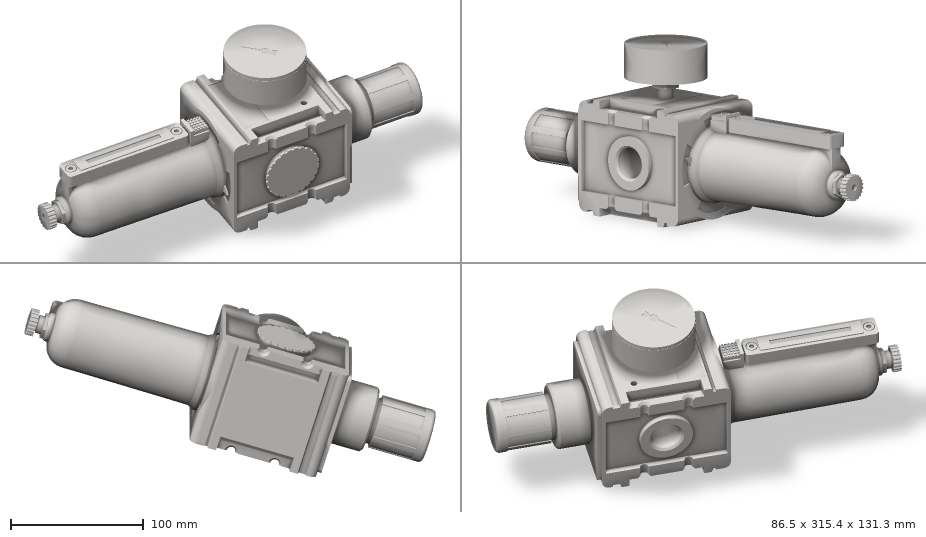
import cadquery as cq
import math


HOUSING_WIDTH = 85.0
HOUSING_LENGTH = 99.7
PAD_HEIGHT = 44.5
SHOULDER_HEIGHT = 42.5
GROOVE_HEIGHT = 40.7
EDGE_RADIUS = 5.7
PAD_HALF_LENGTH = 35.0
PAD_SLOPE = 1.3
KNOB_SIDE_GROOVE_END = 41.5
BOWL_SIDE_GROOVE_END = -38.2
FRONT_BOSS_DIAMETER = 84.5

NOTCH_LENGTH = 58.0
NOTCH_INNER = 31.0
LIP_INNER = 36.0
LIP_HEIGHT = 38.0
SLOT_FLOOR_HEIGHT = 34.0

PORT_POCKET_LENGTH = 94.3
PORT_POCKET_HEIGHT = 54.5
PORT_POCKET_DEPTH = 4.0
PORT_RING_DIAMETER = 41.0
PORT_DIAMETER = 24.0
PORT_MOUTH_DIAMETER = 27.0
PORT_MOUTH_DEPTH = 1.5
CLAMP_HOLE_DIAMETER = 6.5
CLAMP_SINK_DIAMETER = 10.0
CLAMP_SINK_DEPTH = 2.0
CLAMP_HOLE_SPACING = 34.5

TOP_HOLE_DIAMETER = 5.0
TOP_HOLE_DEPTH = 6.3
TOP_HOLE_X = 23.5
TOP_HOLE_Y = 20.8
LABEL_WIDTH = 58.0
LABEL_LENGTH = 20.8
LABEL_CENTRE_Y = -22.5
LABEL_DEPTH = 0.5

COVER_DIAMETER = 45.0
COVER_THICKNESS = 1.5
COVER_NOTCHES = 24
COVER_NOTCH_DIAMETER = 2.5

BAYONET_DEPTH = 1.5
BAYONET_BORE_DIAMETER = 61.8
BAYONET_SLOT_DIAMETER = 74.8
BAYONET_SLOT_SPAN = 52
BAYONET_SLOT_ANGLE = -6
BAYONET_SLOT_COUNT = 4

PLATE_WIDTH = 80.0
PLATE_HEIGHT = 74.5
PLATE_THICKNESS = 3.0
PLATE_CORNER_RADIUS = 4.0
COLLAR_DIAMETER = 50.5
COLLAR_LENGTH = 26.5
COLLAR_CHAMFER = 1.5

KNOB_NECK_DIAMETER = 35.5
KNOB_NECK_LENGTH = 4.0
KNOB_DIAMETER = 41.0
KNOB_LENGTH = 42.0
KNOB_END_RADIUS = 2.8
GRIP_LENGTH = 33.8
GRIP_ROOT_DIAMETER = 39.5
GRIP_SPAN = 32
GRIP_COUNT = 8

STEM_DIAMETER = 12.0
STEM_TOP = 52.0
SQUARE_SIDE = 14.2
DIAL_BOTTOM = 60.3
DIAL_DIAMETER = 63.0
DIAL_HEIGHT = 26.5
BEZEL_HEIGHT = 3.0
BEZEL_STEP = 0.15
NEEDLE_DEPTH = 0.3
NEEDLE_HUB_DIAMETER = 7.0
NEEDLE_LENGTH = 20.2
NEEDLE_ROOT_WIDTH = 2.8
NEEDLE_TAIL_LENGTH = 9.0
NEEDLE_TAIL_WIDTH = 6.5
NEEDLE_ANGLE = 225

NECK_RADIUS = 29.5
NECK_END = -51.7
FLARE_END = -56.0
BOWL_TOP_RADIUS = 27.5
BOWL_BOTTOM_RADIUS = 26.5
DOME_START = -156.0
DOME_RADIUS = 15.5
EAR_REACH = 34.5
EAR_TOP = 9.5
EAR_BOTTOM = 3.0
EAR_THICKNESS = 1.5

LATCH_START = -52.5
LATCH_END = -68.0
LATCH_WIDTH = 16.5
LATCH_BASE_TOP = 35.3
LATCH_TOP = 39.0
LATCH_RIDGE_TOP = 40.7
LATCH_RIDGE_LENGTH = 2.8
LATCH_BUTTON_WIDTH = 14.0
LATCH_GROOVES = 5
LATCH_GROOVE_WIDTH = 1.0
LATCH_GROOVE_DEPTH = 1.0

BAR_START = -69.7
BAR_END = -173.0
BAR_WIDTH = 18.0
BAR_BOTTOM = 28.5
BAR_TOP = 38.8
BAR_CORNER_RADIUS = 2.8
RIB_WIDTH = 9.8
RIB_BOTTOM = 6.3
SIGHT_LENGTH = 80.5
SIGHT_WIDTH = 13.0
SIGHT_HEIGHT = 1.0
SIGHT_CORNER_RADIUS = 1.3
WINDOW_LENGTH = 63.0
WINDOW_WIDTH = 4.5
WINDOW_DEPTH = 1.0
SCREW_SPACING = 91.0
SCREW_HOLE_DIAMETER = 9.0
SCREW_HEAD_DIAMETER = 8.0
SCREW_SOCKET_DIAMETER = 4.0
SCREW_DEPTH = 2.0

DRAIN_FLANGE_DIAMETER = 22.0
DRAIN_FLANGE_LENGTH = 4.5
DRAIN_FLANGE_CHAMFER = 1.5
DRAIN_HEX_CORNERS = 20.0
DRAIN_HEX_LENGTH = 2.5
DRAIN_SHAFT_DIAMETER = 14.0
DRAIN_SHAFT_LENGTH = 4.0
DRAIN_WAIST_DIAMETER = 11.5
DRAIN_WAIST_LENGTH = 1.3
DRAIN_KNOB_DIAMETER = 20.5
DRAIN_HOLE_DIAMETER = 5.0
DRAIN_HOLE_DEPTH = 3.0
DRAIN_NOTCHES = 20
DRAIN_NOTCH_DIAMETER = 2.0
DRAIN_END = -190.0

HALF_WIDTH = HOUSING_WIDTH / 2
FRONT_FACE = -HOUSING_LENGTH / 2
BACK_FACE = HOUSING_LENGTH / 2
BAYONET_FLOOR = FRONT_FACE + BAYONET_DEPTH
PLATE_BACK = BACK_FACE + PLATE_THICKNESS
COLLAR_END = PLATE_BACK + COLLAR_LENGTH
GRIP_START = COLLAR_END + KNOB_NECK_LENGTH
DOME_END = DOME_START - DOME_RADIUS
DIAL_TOP = DIAL_BOTTOM + DIAL_HEIGHT


def block(x_range, y_range, z_range):
    """A box between the given limits."""
    (x0, x1), (y0, y1), (z0, z1) = x_range, y_range, z_range
    return cq.Workplane("XY").box(x1 - x0, y1 - y0, z1 - z0, centered=False).translate((x0, y0, z0))


def rod_x(diameter, start, end):
    """A cylinder on the X axis."""
    return cq.Workplane("YZ", origin=(start, 0, 0)).circle(diameter / 2).extrude(end - start)


def rod_y(diameter, start, end):
    """A cylinder on the Y axis, from start in the +Y direction to end."""
    return cq.Workplane("XZ", origin=(0, end, 0)).circle(diameter / 2).extrude(end - start)


def polar(radius, degrees):
    angle = math.radians(degrees)
    return (radius * math.cos(angle), radius * math.sin(angle))


def sector(wp, outer_radius, inner_radius, middle, span):
    """A ring sector outline on the workplane, centred on the angle `middle`."""
    first = middle - span / 2
    last = middle + span / 2
    return (
        wp.moveTo(*polar(inner_radius, first))
        .lineTo(*polar(outer_radius, first))
        .threePointArc(polar(outer_radius, middle), polar(outer_radius, last))
        .lineTo(*polar(inner_radius, last))
        .threePointArc(polar(inner_radius, middle), polar(inner_radius, first))
        .close()
    )


def housing_blank():
    """The X-extrusion with its pads, cross grooves and rounded long edges."""
    edge = SHOULDER_HEIGHT - EDGE_RADIUS
    arc_inset = EDGE_RADIUS * (1 - math.sqrt(0.5))
    half = (
        cq.Workplane("YZ", origin=(-HALF_WIDTH, 0, 0))
        .moveTo(BACK_FACE, 0)
        .lineTo(BACK_FACE, edge)
        .threePointArc(
            (BACK_FACE - arc_inset, SHOULDER_HEIGHT - arc_inset),
            (BACK_FACE - EDGE_RADIUS, SHOULDER_HEIGHT),
        )
        .lineTo(KNOB_SIDE_GROOVE_END, SHOULDER_HEIGHT)
        .lineTo(KNOB_SIDE_GROOVE_END, GROOVE_HEIGHT)
        .lineTo(PAD_HALF_LENGTH + PAD_SLOPE, GROOVE_HEIGHT)
        .lineTo(PAD_HALF_LENGTH, PAD_HEIGHT)
        .lineTo(-PAD_HALF_LENGTH, PAD_HEIGHT)
        .lineTo(-PAD_HALF_LENGTH - PAD_SLOPE, GROOVE_HEIGHT)
        .lineTo(BOWL_SIDE_GROOVE_END, GROOVE_HEIGHT)
        .lineTo(BOWL_SIDE_GROOVE_END, SHOULDER_HEIGHT)
        .lineTo(FRONT_FACE + EDGE_RADIUS, SHOULDER_HEIGHT)
        .threePointArc(
            (FRONT_FACE + arc_inset, SHOULDER_HEIGHT - arc_inset),
            (FRONT_FACE, edge),
        )
        .lineTo(FRONT_FACE, 0)
        .close()
        .extrude(HOUSING_WIDTH)
    )
    front_boss = rod_y(FRONT_BOSS_DIAMETER, FRONT_FACE, FRONT_FACE + EDGE_RADIUS)
    return half.union(half.mirror("XY")).union(front_boss)


def clamp_notch():
    """Cut at the -X, +Z edge: a lowered lip with a deeper slot behind it and two sunk holes."""
    y_range = (-NOTCH_LENGTH / 2, NOTCH_LENGTH / 2)
    cut = block((-HALF_WIDTH, -NOTCH_INNER), y_range, (LIP_HEIGHT, PAD_HEIGHT))
    cut = cut.union(block((-LIP_INNER, -NOTCH_INNER), y_range, (SLOT_FLOOR_HEIGHT, PAD_HEIGHT)))
    hole_bottom = PORT_POCKET_HEIGHT / 2
    for y in (-CLAMP_HOLE_SPACING / 2, CLAMP_HOLE_SPACING / 2):
        centre = cq.Vector(-HALF_WIDTH, y, 0)
        hole = cq.Solid.makeCylinder(
            CLAMP_HOLE_DIAMETER / 2, LIP_HEIGHT - hole_bottom, centre + cq.Vector(0, 0, hole_bottom)
        )
        sink = cq.Solid.makeCone(
            CLAMP_HOLE_DIAMETER / 2,
            CLAMP_SINK_DIAMETER / 2,
            CLAMP_SINK_DEPTH,
            centre + cq.Vector(0, 0, LIP_HEIGHT - CLAMP_SINK_DEPTH),
        )
        cut = cut.union(cq.Workplane(hole)).union(cq.Workplane(sink))
    return cut


def port_pocket():
    """Pocket in the -X face that leaves a ring standing around the port."""
    pocket = block(
        (-HALF_WIDTH, -HALF_WIDTH + PORT_POCKET_DEPTH),
        (-PORT_POCKET_LENGTH / 2, PORT_POCKET_LENGTH / 2),
        (-PORT_POCKET_HEIGHT / 2, PORT_POCKET_HEIGHT / 2),
    )
    return pocket.cut(rod_x(PORT_RING_DIAMETER, -HALF_WIDTH, HALF_WIDTH))


def port_bore():
    """Through bore with a countersunk mouth at the -X face; the cover closes its other end."""
    mouth = cq.Solid.makeCone(
        PORT_MOUTH_DIAMETER / 2,
        PORT_DIAMETER / 2,
        PORT_MOUTH_DEPTH,
        cq.Vector(-HALF_WIDTH, 0, 0),
        cq.Vector(1, 0, 0),
    )
    return rod_x(PORT_DIAMETER, -HALF_WIDTH, HALF_WIDTH).union(cq.Workplane(mouth))


def port_cover():
    """Thin disc with notches all round its rim."""
    cover = rod_x(COVER_DIAMETER, HALF_WIDTH, HALF_WIDTH + COVER_THICKNESS)
    notches = (
        cq.Workplane("YZ", origin=(HALF_WIDTH, 0, 0))
        .polarArray(COVER_DIAMETER / 2, 0, 360, COVER_NOTCHES)
        .circle(COVER_NOTCH_DIAMETER / 2)
        .extrude(COVER_THICKNESS)
    )
    return cover.cut(notches)


def bayonet_opening():
    """Shallow round opening with four slots in the front face."""
    opening = rod_y(BAYONET_BORE_DIAMETER, FRONT_FACE, BAYONET_FLOOR)
    for i in range(BAYONET_SLOT_COUNT):
        angle = BAYONET_SLOT_ANGLE + i * 360 / BAYONET_SLOT_COUNT
        plane = cq.Workplane("XZ", origin=(0, BAYONET_FLOOR, 0))
        outline = sector(
            plane, BAYONET_SLOT_DIAMETER / 2, BAYONET_BORE_DIAMETER / 4, angle, BAYONET_SLOT_SPAN
        )
        opening = opening.union(outline.extrude(BAYONET_DEPTH))
    return opening


def make_housing():
    body = housing_blank()
    notch = clamp_notch()
    pocket = port_pocket()
    for cut in (notch, notch.mirror("XY"), pocket):
        body = body.cut(cut).cut(cut.mirror("YZ"))
    body = body.cut(port_bore())
    body = body.union(port_cover())
    body = body.cut(bayonet_opening())

    pad = cq.Workplane("XY", origin=(0, 0, PAD_HEIGHT))
    top_holes = (
        pad.pushPoints([(-TOP_HOLE_X, TOP_HOLE_Y), (TOP_HOLE_X, TOP_HOLE_Y)])
        .circle(TOP_HOLE_DIAMETER / 2)
        .extrude(-TOP_HOLE_DEPTH)
    )
    label = pad.center(0, LABEL_CENTRE_Y).rect(LABEL_WIDTH, LABEL_LENGTH).extrude(-LABEL_DEPTH)
    return body.cut(top_holes).cut(label)


def make_bonnet():
    plate = (
        cq.Workplane("XZ", origin=(0, PLATE_BACK, 0))
        .rect(PLATE_WIDTH, PLATE_HEIGHT)
        .extrude(PLATE_THICKNESS)
        .edges("|Y")
        .fillet(PLATE_CORNER_RADIUS)
    )
    collar = rod_y(COLLAR_DIAMETER, PLATE_BACK, COLLAR_END).faces("<Y or >Y").chamfer(COLLAR_CHAMFER)
    return plate.union(collar)


def make_knob():
    neck = rod_y(KNOB_NECK_DIAMETER, COLLAR_END, GRIP_START)
    grip = rod_y(KNOB_DIAMETER, GRIP_START, GRIP_START + KNOB_LENGTH)
    grip = grip.faces(">Y").edges().fillet(KNOB_END_RADIUS)
    for i in range(GRIP_COUNT):
        plane = cq.Workplane("XZ", origin=(0, GRIP_START + GRIP_LENGTH, 0))
        outline = sector(
            plane, KNOB_DIAMETER, GRIP_ROOT_DIAMETER / 2, i * 360 / GRIP_COUNT, GRIP_SPAN
        )
        grip = grip.cut(outline.extrude(GRIP_LENGTH))
    return neck.union(grip)


def gauge_needle():
    """Engraved needle: pointer, hub and flared tail."""
    plane = cq.Workplane("XY", origin=(0, 0, DIAL_TOP))
    hub = plane.circle(NEEDLE_HUB_DIAMETER / 2).extrude(-NEEDLE_DEPTH)
    half_root = NEEDLE_ROOT_WIDTH / 2
    pointer = (
        plane.polyline([(0, -half_root), (NEEDLE_LENGTH, 0), (0, half_root)])
        .close()
        .extrude(-NEEDLE_DEPTH)
    )
    half_tail = NEEDLE_TAIL_WIDTH / 2
    tail = (
        plane.polyline(
            [
                (0, -half_root),
                (-NEEDLE_HUB_DIAMETER / 2, -half_root),
                (-NEEDLE_TAIL_LENGTH, -half_tail),
                (-NEEDLE_TAIL_LENGTH, half_tail),
                (-NEEDLE_HUB_DIAMETER / 2, half_root),
                (0, half_root),
            ]
        )
        .close()
        .extrude(-NEEDLE_DEPTH)
    )
    return hub.union(pointer).union(tail).rotate((0, 0, 0), (0, 0, 1), NEEDLE_ANGLE)


def make_gauge():
    stem = (
        cq.Workplane("XY", origin=(0, 0, PAD_HEIGHT))
        .circle(STEM_DIAMETER / 2)
        .extrude(STEM_TOP - PAD_HEIGHT)
    )
    square = (
        cq.Workplane("XY", origin=(0, 0, STEM_TOP))
        .rect(SQUARE_SIDE, SQUARE_SIDE)
        .extrude(DIAL_BOTTOM - STEM_TOP)
    )
    case = (
        cq.Workplane("XY", origin=(0, 0, DIAL_BOTTOM))
        .circle(DIAL_DIAMETER / 2)
        .extrude(DIAL_HEIGHT - BEZEL_HEIGHT)
    )
    bezel = (
        cq.Workplane("XY", origin=(0, 0, DIAL_TOP - BEZEL_HEIGHT))
        .circle(DIAL_DIAMETER / 2 - BEZEL_STEP)
        .extrude(BEZEL_HEIGHT)
    )
    return stem.union(square).union(case).union(bezel).cut(gauge_needle())


def bowl_shell():
    """Turned bowl: neck, flare, slightly tapered wall and rounded bottom."""
    flat_radius = BOWL_BOTTOM_RADIUS - DOME_RADIUS
    arc_step = DOME_RADIUS * math.sqrt(0.5)
    return (
        cq.Workplane("XY")
        .moveTo(0, BAYONET_FLOOR)
        .lineTo(NECK_RADIUS, BAYONET_FLOOR)
        .lineTo(NECK_RADIUS, NECK_END)
        .lineTo(BOWL_TOP_RADIUS, FLARE_END)
        .lineTo(BOWL_BOTTOM_RADIUS, DOME_START)
        .threePointArc((flat_radius + arc_step, DOME_START - arc_step), (flat_radius, DOME_END))
        .lineTo(0, DOME_END)
        .close()
        .revolve(360, (0, 0, 0), (0, 1, 0))
    )


def bowl_ear():
    """Small pointed marker beside the neck, just in front of the housing."""
    return (
        cq.Workplane("XZ", origin=(0, FRONT_FACE, 0))
        .polyline([(0, EAR_TOP), (-EAR_REACH, EAR_TOP), (-NECK_RADIUS, EAR_BOTTOM), (0, EAR_BOTTOM)])
        .close()
        .extrude(EAR_THICKNESS)
    )


def latch():
    half = LATCH_WIDTH / 2
    half_button = LATCH_BUTTON_WIDTH / 2
    ridge_start = LATCH_END + LATCH_RIDGE_LENGTH
    base = block((-half, half), (LATCH_END, LATCH_START), (0, LATCH_BASE_TOP))
    button = block((-half_button, half_button), (ridge_start, LATCH_START), (LATCH_BASE_TOP, LATCH_TOP))
    ridge = block((-half, half), (LATCH_END, ridge_start), (LATCH_BASE_TOP, LATCH_RIDGE_TOP))
    body = base.union(button).union(ridge)
    floor = LATCH_TOP - LATCH_GROOVE_DEPTH
    for i in range(LATCH_GROOVES):
        y = ridge_start + (i + 0.5) * (LATCH_START - ridge_start) / LATCH_GROOVES
        x = -half_button + (i + 0.5) * LATCH_BUTTON_WIDTH / LATCH_GROOVES
        across = block((-half, half), (y, y + LATCH_GROOVE_WIDTH), (floor, LATCH_TOP))
        along = block((x, x + LATCH_GROOVE_WIDTH), (ridge_start, LATCH_START), (floor, LATCH_TOP))
        body = body.cut(across).cut(along)
    return body


def sight_bar():
    """Bar on a rib along the bowl, with a raised sight strip, its window and two screws."""
    middle = (BAR_START + BAR_END) / 2
    bar = block((-BAR_WIDTH / 2, BAR_WIDTH / 2), (BAR_END, BAR_START), (BAR_BOTTOM, BAR_TOP))
    bar = bar.edges("|Z").fillet(BAR_CORNER_RADIUS)
    rib = block((-RIB_WIDTH / 2, RIB_WIDTH / 2), (DOME_END, BAR_START), (RIB_BOTTOM, BAR_BOTTOM))
    top = cq.Workplane("XY", origin=(0, middle, BAR_TOP))
    strip = (
        top.rect(SIGHT_WIDTH, SIGHT_LENGTH)
        .extrude(SIGHT_HEIGHT)
        .edges("|Z")
        .fillet(SIGHT_CORNER_RADIUS)
    )
    window = (
        top.workplane(offset=SIGHT_HEIGHT)
        .rect(WINDOW_WIDTH, WINDOW_LENGTH)
        .extrude(-WINDOW_DEPTH)
    )
    screws = top.pushPoints([(0, -SCREW_SPACING / 2), (0, SCREW_SPACING / 2)])
    gaps = (
        screws.circle(SCREW_HOLE_DIAMETER / 2).circle(SCREW_HEAD_DIAMETER / 2).extrude(-SCREW_DEPTH)
    )
    sockets = screws.circle(SCREW_SOCKET_DIAMETER / 2).extrude(-SCREW_DEPTH)
    return bar.union(rib).union(strip).cut(window).cut(gaps).cut(sockets)


def make_bowl():
    ear = bowl_ear()
    bowl = bowl_shell().union(ear).union(ear.rotate((0, 0, 0), (0, 1, 0), 180))
    return bowl.union(latch()).union(sight_bar())


def make_drain():
    hex_start = DOME_END - DRAIN_FLANGE_LENGTH
    shaft_start = hex_start - DRAIN_HEX_LENGTH
    waist_start = shaft_start - DRAIN_SHAFT_LENGTH
    knob_start = waist_start - DRAIN_WAIST_LENGTH
    flange = rod_y(DRAIN_FLANGE_DIAMETER, hex_start, DOME_END)
    flange = flange.faces("<Y").chamfer(DRAIN_FLANGE_CHAMFER)
    hexagon = (
        cq.Workplane("XZ", origin=(0, hex_start, 0))
        .polygon(6, DRAIN_HEX_CORNERS)
        .extrude(DRAIN_HEX_LENGTH)
        .rotate((0, 0, 0), (0, 1, 0), 90)
    )
    shaft = rod_y(DRAIN_SHAFT_DIAMETER, waist_start, shaft_start)
    waist = rod_y(DRAIN_WAIST_DIAMETER, knob_start, waist_start)
    notches = (
        cq.Workplane("XZ", origin=(0, knob_start, 0))
        .polarArray(DRAIN_KNOB_DIAMETER / 2, 0, 360, DRAIN_NOTCHES)
        .circle(DRAIN_NOTCH_DIAMETER / 2)
        .extrude(knob_start - DRAIN_END)
    )
    knob = rod_y(DRAIN_KNOB_DIAMETER, DRAIN_END, knob_start).cut(notches)
    hole = rod_y(DRAIN_HOLE_DIAMETER, DRAIN_END, DRAIN_END + DRAIN_HOLE_DEPTH)
    return flange.union(hexagon).union(shaft).union(waist).union(knob).cut(hole)


housing = make_housing()
bonnet = make_bonnet()
knob = make_knob()
gauge = make_gauge()
bowl = make_bowl()
drain = make_drain()

result = cq.Compound.makeCompound(
    [housing.val(), bonnet.val(), knob.val(), gauge.val(), bowl.val(), drain.val()]
)